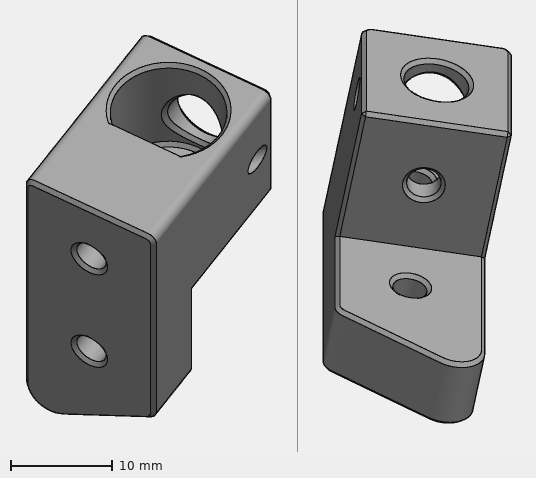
import cadquery as cq
import math

width = 15.0
depth = 22.5
height = 34.0
block_height = width
plate_thickness = width / 2
block_bottom = height - block_height

slope_angle = math.radians(30)
top_radius = 1.0
toe_radius = 3.0
heel_radius = 1.5
edge_chamfer = 0.4

hole_diameter = 3.4
hole_chamfer = 0.4
upper_hole_z = height - block_height / 2
hole_spacing = 14.18
lower_hole_z = upper_hole_z - hole_spacing
access_diameter = 6.5

side_diameter = 2.5
side_angle = 45
side_hole_offset = 2.1

pocket_diameter = 11.5
pocket_chamfer = 0.4
pocket_y = depth - width / 2
pocket_flat_offset = 4.5
floor_thickness = 3.0
pocket_floor_z = block_bottom + floor_thickness

SMALL = 0.005


def make_body():
    """Front outline extruded to full depth, notched behind the plate."""
    left = -width / 2
    right = width / 2
    slope = math.tan(slope_angle)
    toe_corner_z = toe_radius * (1 - slope - 1 / math.cos(slope_angle))
    heel_z = toe_corner_z + width * slope
    outline = [(left, toe_corner_z), (right, heel_z), (right, height), (left, height)]
    body = cq.Workplane("XZ").polyline(outline).close().extrude(-depth)

    body = body.edges("|Y and >Z").fillet(top_radius)
    body = body.edges("|Y and <X and <Z").fillet(toe_radius)
    body = body.edges(cq.selectors.NearestToPointSelector((right, depth / 2, heel_z))).fillet(heel_radius)

    notch = cq.Workplane("XY").box(2 * width, depth, height, centered=(True, False, False))
    notch = notch.translate((0, plate_thickness, block_bottom - height))
    return body.cut(notch)


def chamfer_body(body):
    """Chamfer the rims of the front, rear and underside faces, except the inner corner."""
    rims = body.faces("<Y or >Y").edges()
    plate_rear = body.faces(cq.selectors.NearestToPointSelector((0, plate_thickness, block_bottom / 2)))
    underside = body.faces(cq.selectors.NearestToPointSelector((0, pocket_y, block_bottom)))
    inner_corner = cq.selectors.BoxSelector(
        (-SMALL, plate_thickness - SMALL, block_bottom - SMALL),
        (SMALL, plate_thickness + SMALL, block_bottom + SMALL),
    )
    rims = rims.add(plate_rear.edges()).add(underside.edges())
    return body.newObject(rims.edges(cq.selectors.InverseSelector(inner_corner)).vals()).chamfer(edge_chamfer)


def chamfered_hole(diameter, chamfer, length):
    """Cutter along +Z from the origin, widened by a chamfer at both ends."""
    radius = diameter / 2
    profile = [
        (0, 0),
        (radius + chamfer, 0),
        (radius, chamfer),
        (radius, length - chamfer),
        (radius + chamfer, length),
        (0, length),
    ]
    return cq.Workplane("XZ").polyline(profile).close().revolve(360, (0, 0), (0, 1))


def along_y(cutter, y, z):
    """Turn a cutter from +Z to +Y and start it at the given place."""
    return cutter.rotate((0, 0, 0), (1, 0, 0), -90).translate((0, y, z))


def make_pocket():
    """Round pocket, chamfered at the mouth and the floor, with a flat toward the front."""
    radius = pocket_diameter / 2
    profile = [
        (0, pocket_floor_z),
        (radius - pocket_chamfer, pocket_floor_z),
        (radius, pocket_floor_z + pocket_chamfer),
        (radius, height - pocket_chamfer),
        (radius + pocket_chamfer, height),
        (0, height),
    ]
    pocket = cq.Workplane("XZ").polyline(profile).close().revolve(360, (0, 0), (0, 1))
    keep = cq.Workplane("XY").box(2 * width, depth, height, centered=(True, False, False))
    return pocket.intersect(keep.translate((0, -pocket_flat_offset, 0))).translate((0, pocket_y, 0))


flat_y = pocket_y - pocket_flat_offset
upper_hole = along_y(chamfered_hole(hole_diameter, hole_chamfer, flat_y), 0, upper_hole_z)
lower_hole = along_y(chamfered_hole(hole_diameter, hole_chamfer, plate_thickness), 0, lower_hole_z)
floor_hole = chamfered_hole(hole_diameter, hole_chamfer, pocket_floor_z - block_bottom)
floor_hole = floor_hole.translate((0, pocket_y, block_bottom))

access_hole = along_y(cq.Workplane("XY").circle(access_diameter / 2).extrude(depth), pocket_y, upper_hole_z)
side_hole = cq.Workplane("YZ").center(-side_hole_offset, 0).circle(side_diameter / 2).extrude(width)
side_hole = side_hole.rotate((0, 0, 0), (0, 0, 1), side_angle).translate((0, pocket_y, upper_hole_z))

result = chamfer_body(make_body()).cut(make_pocket())
for cutter in (upper_hole, lower_hole, floor_hole, access_hole, side_hole):
    result = result.cut(cutter)


def is_access_rim(edge):
    """True for the inner and outer rims of the access hole."""
    box = edge.BoundingBox()
    spans_hole = abs(box.xlen - access_diameter) < SMALL and abs(box.zlen - access_diameter) < SMALL
    return spans_hole and box.ymin > pocket_y


access_rims = [edge for edge in result.edges().vals() if is_access_rim(edge)]
result = result.newObject(access_rims).chamfer(edge_chamfer)